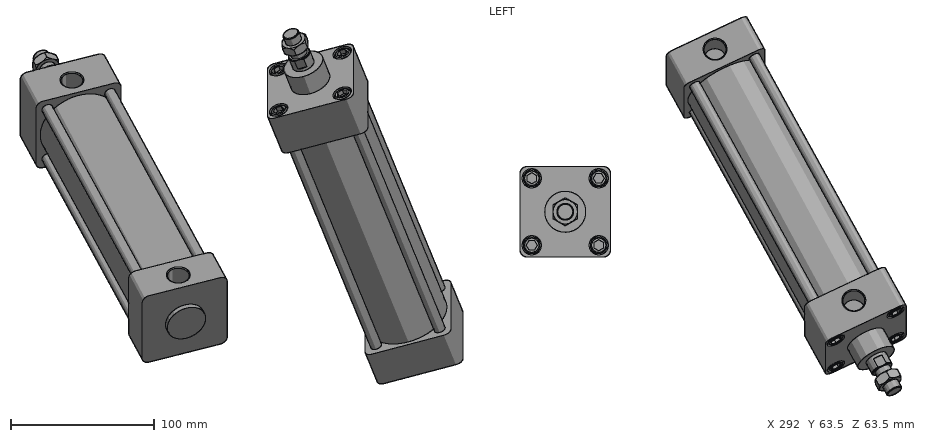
import cadquery as cq
import math


rod_tip = 0.0
nut_front = 6.5
nut_rear = 13.5
thread_end = 18.7
flat_end = 26.0
head_boss_front = 28.3
head_front = 44.0
head_rear = 76.0
cap_front = 261.5
cap_rear = 288.5
cap_boss_rear = 292.0

block_side = 63.5
corner_radius = 5.3
boss_diameter = 28.5

port_diameter = 15.2
port_chamfer = 0.73
port_depth = 17.5
head_port_x = 62.5
cap_port_x = 275.7

barrel_diameter = 57.3
bore_diameter = 50.8

rod_count = 4
tie_offset = 23.5
tie_diameter = 8.0
screw_head_diameter = 11.7
screw_head_chamfer = 1.0
socket_flats = 6.7
socket_depth = 3.5
recess_diameter = 13.5
recess_depth = 7.0
tie_depth_in_cap = 17.5

piston_rod_diameter = 15.8
shoulder_chamfer = 0.5
tip_chamfer = 0.5
wrench_flats = 14.3
thread_diameter = 11.7
nut_flats = 17.0
nut_chamfer_length = 1.2

tie_end = cap_front + tie_depth_in_cap
recess_floor = head_front + recess_depth
hex_corner_factor = 1 / math.cos(math.radians(30))


def cylinder(x_start, x_end, diameter, y=0, z=0):
    """Cylinder parallel to X."""
    disc = cq.Workplane("YZ", origin=(x_start, y, z)).circle(diameter / 2)
    return disc.extrude(x_end - x_start)


def hexagon(x_start, x_end, flats):
    """Hexagonal prism along X, with two of its corners on the Z axis."""
    outline = cq.Workplane("YZ", origin=(x_start, 0, 0)).polygon(6, flats * hex_corner_factor)
    prism = outline.extrude(x_end - x_start)
    return prism.rotate((0, 0, 0), (1, 0, 0), 90)


def around_axis(feature):
    """Copies of a feature, turned about X in equal steps."""
    step = 360 / rod_count
    return [feature.rotate((0, 0, 0), (1, 0, 0), i * step) for i in range(rod_count)]


def block(x_start, x_end):
    """Square block with its four edges along X rounded."""
    outline = cq.Workplane("YZ", origin=(x_start, 0, 0)).rect(block_side, block_side)
    return outline.extrude(x_end - x_start).edges("|X").fillet(corner_radius)


def port(x):
    """Blind port going down from the top, with a chamfered mouth."""
    top = block_side / 2
    hole = cq.Workplane("XY", origin=(x, 0, top)).circle(port_diameter / 2).extrude(-port_depth)
    mouth = cq.Workplane("XY", origin=(x, 0, top)).circle(port_diameter / 2 + port_chamfer)
    return hole.union(mouth.extrude(-port_chamfer, taper=45))


def make_head():
    head = block(head_front, head_rear)
    head = head.union(cylinder(head_boss_front, head_front, boss_diameter))
    head = head.cut(cylinder(head_boss_front, head_rear, piston_rod_diameter))
    tie_hole = cylinder(head_front, head_rear, tie_diameter, tie_offset, tie_offset)
    recess = cylinder(head_front, recess_floor, recess_diameter, tie_offset, tie_offset)
    for hole in around_axis(tie_hole.union(recess)):
        head = head.cut(hole)
    return head.cut(port(head_port_x))


def make_end_cap():
    cap = block(cap_front, cap_rear)
    cap = cap.union(cylinder(cap_rear, cap_boss_rear, boss_diameter))
    for hole in around_axis(cylinder(cap_front, tie_end, tie_diameter, tie_offset, tie_offset)):
        cap = cap.cut(hole)
    return cap.cut(port(cap_port_x))


def make_barrel():
    barrel = cylinder(head_rear, cap_front, barrel_diameter)
    return barrel.cut(cylinder(head_rear, cap_front, bore_diameter))


def make_tie_rod():
    """Tie rod in the +Y +Z corner, its socket head flush with the front of the head."""
    screw_head = cylinder(head_front, recess_floor, screw_head_diameter)
    screw_head = screw_head.faces("<X").chamfer(screw_head_chamfer)
    screw_head = screw_head.cut(hexagon(head_front, head_front + socket_depth, socket_flats))
    shank = cylinder(recess_floor, tie_end, tie_diameter)
    return screw_head.union(shank).translate((0, tie_offset, tie_offset))


def make_piston_rod():
    """Rod with two wrench flats facing up and down behind its threaded end."""
    rod = cylinder(thread_end, head_rear, piston_rod_diameter)
    rod = rod.faces("<X").chamfer(shoulder_chamfer)
    flat_height = (piston_rod_diameter - wrench_flats) / 2
    for side in (1, -1):
        flat = cq.Workplane("XY").box(
            flat_end - thread_end, piston_rod_diameter, flat_height, centered=(False, True, True)
        )
        rod = rod.cut(flat.translate((thread_end, 0, side * (wrench_flats + flat_height) / 2)))
    thread = cylinder(rod_tip, thread_end, thread_diameter).faces("<X").chamfer(tip_chamfer)
    return rod.union(thread)


def make_nut():
    """Hexagon nut with the corners turned off conically at both faces."""
    outer_radius = nut_flats / 2 * hex_corner_factor
    corner_height = outer_radius - nut_flats / 2
    envelope = cylinder(nut_front, nut_rear, 2 * outer_radius)
    envelope = envelope.faces("<X").chamfer(nut_chamfer_length, corner_height)
    envelope = envelope.faces(">X").chamfer(nut_chamfer_length, corner_height)
    nut = hexagon(nut_front, nut_rear, nut_flats).intersect(envelope)
    return nut.cut(cylinder(nut_front, nut_rear, thread_diameter))


head = make_head()
end_cap = make_end_cap()
barrel = make_barrel()
tie_rods = around_axis(make_tie_rod())
piston_rod = make_piston_rod()
nut = make_nut()

result = cq.Compound.makeCompound([
    head.val(),
    end_cap.val(),
    barrel.val(),
    *[tie_rod.val() for tie_rod in tie_rods],
    piston_rod.val(),
    nut.val(),
])